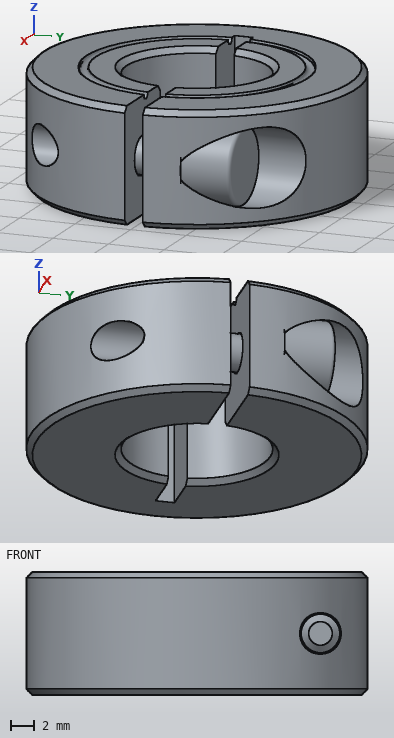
import cadquery as cq

outer_diameter = 28.55
width = 10.3
bore_diameter = 12.68
edge_chamfer = 0.5

groove_mid_radius = 9.5
groove_top_half_width = 0.43
groove_floor_half_width = 0.37
groove_wall_depth = 0.23
groove_depth = 0.45

slit_width = 1.63
slit_end_x = -10.55

screw_x = 10.3
shank_diameter = 3.23
shank_hole_diameter = 3.45
head_diameter = 6.85
head_pocket_diameter = 6.97
head_top_y = 8.43
head_seat_y = 4.0
head_fillet = 0.35
tip_y = -7.15
tip_chamfer = 0.63


def rod_along_y(diameter, y_start, y_end):
    """Cylinder on the screw axis between two Y positions."""
    start = cq.Vector(screw_x, y_start, 0)
    return cq.Workplane(cq.Solid.makeCylinder(diameter / 2, y_end - y_start, start, cq.Vector(0, 1, 0)))


def make_ring():
    ring = cq.Workplane("XY").circle(outer_diameter / 2).circle(bore_diameter / 2).extrude(width / 2, both=True)
    ring = ring.faces("<Z or >Z").edges().chamfer(edge_chamfer)
    return ring.cut(make_groove())


def make_groove():
    profile = (
        cq.Workplane("XZ", origin=(0, 0, width / 2))
        .moveTo(groove_mid_radius - groove_top_half_width, 0)
        .lineTo(groove_mid_radius - groove_floor_half_width, -groove_wall_depth)
        .threePointArc(
            (groove_mid_radius, -groove_depth),
            (groove_mid_radius + groove_floor_half_width, -groove_wall_depth),
        )
        .lineTo(groove_mid_radius + groove_top_half_width, 0)
        .close()
    )
    return profile.revolve(360, (0, 0), (0, 1))


def make_slit():
    open_end_x = outer_diameter
    length = open_end_x - slit_end_x
    return cq.Workplane("XY").box(length, slit_width, 2 * width).translate((slit_end_x + length / 2, 0, 0))


def make_screw():
    shank = rod_along_y(shank_diameter, tip_y, head_seat_y).faces("<Y").edges().chamfer(tip_chamfer)
    head = rod_along_y(head_diameter, head_seat_y, head_top_y)
    head = head.faces(">Y").edges().fillet(head_fillet)
    return head.union(shank)


screw_hole = rod_along_y(shank_hole_diameter, -outer_diameter, outer_diameter)
head_pocket = rod_along_y(head_pocket_diameter, head_seat_y, outer_diameter)

collar = make_ring().cut(make_slit()).cut(screw_hole).cut(head_pocket)
result = collar.union(make_screw())